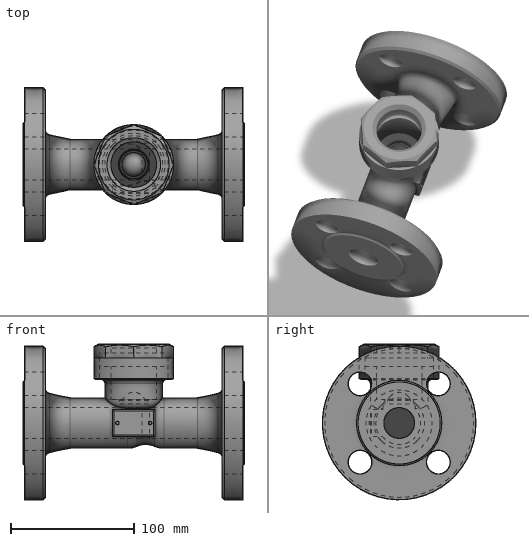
import cadquery as cq
import math

LENGTH = 180.0
FLANGE_DIAMETER = 125.0

RAISED_FACE_HEIGHT = 1.3
RAISED_FACE_DIAMETER = 69.3
RAISED_FACE_TOP_DIAMETER = 66.8
FLANGE_THICKNESS = 17.1
FLANGE_CHAMFER = 2.0
BOLT_HOLE_DIAMETER = 19.0
BOLT_CIRCLE_DIAMETER = 90.0
BOLT_COUNT = 4

PIPE_DIAMETER = 41.0
BORE_DIAMETER = 25.0
HUB_START = 51.7
HUB_END = 68.5
HUB_DIAMETER = 48.2
HUB_FILLET_WIDTH = 2.7

WAIST_CENTER = 9.7
WAIST_HALF_LENGTH = 14.8
WAIST_CORE_HALF_LENGTH = 7.0
WAIST_DEPTH = 3.0
PARTITION_THICKNESS = 5.8
CUT_CLEARANCE = 1.8

NECK_DIAMETER = 47.0
FLARE_DIAMETER = 51.0
THREAD_DIAMETER = 56.0
NECK_ROUND_RADIUS = 7.4
NECK_ROUND_TOP = 19.0
FLARE_BOTTOM = 32.0
FLARE_TOP = 35.1
SPIGOT_TOP = 45.9
CHAMBER_DIAMETER = 37.0
CHAMBER_FLOOR = 19.0

RECESS_DIAMETER = 23.0
RECESS_MOUTH_DIAMETER = BORE_DIAMETER
RECESS_FLOOR = 15.3
DOME_RADIUS = 9.7

PLATE_WIDTH = 34.2
PLATE_HEIGHT = 22.0
PLATE_FRONT = 23.4
PLATE_BEVEL_DEPTH = 0.7
PLATE_BEVEL_WIDTH = 1.0
RIVET_DIAMETER = 2.9
RIVET_SPACING = 26.5
RIVET_HEIGHT = 1.0

NUT_TOP = 64.0
NUT_DIAMETER = 65.0
NUT_BOTTOM = 35.5
OCTAGON_BOTTOM = 52.7
OCTAGON_SIDES = 8
NUT_TOP_DIAMETER = 57.5
NUT_CHAMFER_ANGLE = 30.0
NUT_BOTTOM_CHAMFER_WIDTH = 1.5
NUT_MOUTH_CHAMFER = 3.2
NUT_LIP_BOTTOM = 56.9


def half_outline():
    """Revolved half outline of one pipe end, from the centre to the raised face."""
    face_plane = LENGTH / 2
    front_plane = face_plane - RAISED_FACE_HEIGHT
    back_plane = front_plane - FLANGE_THICKNESS
    flange_radius = FLANGE_DIAMETER / 2
    hub_radius = HUB_DIAMETER / 2
    return (
        cq.Workplane("XY")
        .moveTo(0, 0)
        .lineTo(0, PIPE_DIAMETER / 2)
        .lineTo(HUB_START, PIPE_DIAMETER / 2)
        .lineTo(HUB_END, hub_radius)
        .tangentArcPoint((back_plane, hub_radius + HUB_FILLET_WIDTH), relative=False)
        .lineTo(back_plane, flange_radius - FLANGE_CHAMFER)
        .lineTo(back_plane + FLANGE_CHAMFER, flange_radius)
        .lineTo(front_plane, flange_radius)
        .lineTo(front_plane, RAISED_FACE_DIAMETER / 2)
        .lineTo(face_plane, RAISED_FACE_TOP_DIAMETER / 2)
        .lineTo(face_plane, 0)
        .close()
    )


def make_run():
    """Pipe, hubs and flanges along X, still without bores."""
    end = half_outline().revolve(360, (0, 0, 0), (1, 0, 0))
    return end.union(end.mirror("YZ"))


def make_waist_cutter():
    """Ring that turns the waist: a hollow middle arc blending into the pipe with a convex arc each side."""
    pipe_radius = PIPE_DIAMETER / 2
    turn = 2 * math.atan(WAIST_DEPTH / WAIST_HALF_LENGTH)
    hollow_radius = WAIST_CORE_HALF_LENGTH / math.sin(turn)
    shoulder_radius = (WAIST_HALF_LENGTH - WAIST_CORE_HALF_LENGTH) / math.sin(turn)
    core_depth = WAIST_DEPTH - hollow_radius * (1 - math.cos(turn))
    shoulder_offset = WAIST_HALF_LENGTH - shoulder_radius * math.sin(turn / 2)
    shoulder_drop = shoulder_radius * (1 - math.cos(turn / 2))

    def point(offset, drop):
        return (WAIST_CENTER + offset, pipe_radius - drop)

    return (
        cq.Workplane("XY")
        .moveTo(*point(-WAIST_HALF_LENGTH, 0))
        .threePointArc(point(-shoulder_offset, shoulder_drop), point(-WAIST_CORE_HALF_LENGTH, core_depth))
        .threePointArc(point(0, WAIST_DEPTH), point(WAIST_CORE_HALF_LENGTH, core_depth))
        .threePointArc(point(shoulder_offset, shoulder_drop), point(WAIST_HALF_LENGTH, 0))
        .lineTo(*point(WAIST_HALF_LENGTH, -CUT_CLEARANCE))
        .lineTo(*point(-WAIST_HALF_LENGTH, -CUT_CLEARANCE))
        .close()
        .revolve(360, (0, 0, 0), (1, 0, 0))
    )


def make_neck():
    """Neck with a rounded bottom, flaring out to the threaded spigot that fills the nut."""
    neck_radius = NECK_DIAMETER / 2
    flare_radius = FLARE_DIAMETER / 2
    thread_radius = THREAD_DIAMETER / 2
    neck_bottom = NECK_ROUND_TOP - NECK_ROUND_RADIUS
    return (
        cq.Workplane("XZ")
        .moveTo(0, neck_bottom)
        .lineTo(neck_radius - NECK_ROUND_RADIUS, neck_bottom)
        .tangentArcPoint((neck_radius, NECK_ROUND_TOP), relative=False)
        .lineTo(neck_radius, FLARE_BOTTOM)
        .tangentArcPoint((flare_radius, FLARE_TOP), relative=False)
        .lineTo(flare_radius, NUT_BOTTOM)
        .lineTo(thread_radius, NUT_BOTTOM)
        .lineTo(thread_radius, SPIGOT_TOP)
        .lineTo(0, SPIGOT_TOP)
        .close()
        .revolve(360, (0, 0, 0), (0, 1, 0))
    )


def make_plate():
    """Bevelled name plate standing on the pipe."""
    return (
        cq.Workplane("XZ")
        .rect(PLATE_WIDTH, PLATE_HEIGHT)
        .extrude(PLATE_FRONT)
        .faces("<Y")
        .chamfer(PLATE_BEVEL_DEPTH, PLATE_BEVEL_WIDTH)
    )


def make_rivets():
    """Two domed rivet heads on the name plate."""
    rivet_radius = RIVET_DIAMETER / 2
    sphere_radius = (rivet_radius**2 + RIVET_HEIGHT**2) / (2 * RIVET_HEIGHT)
    sphere_depth = PLATE_FRONT + RIVET_HEIGHT - sphere_radius
    rivets = cq.Workplane("XY")
    for side in (-1, 1):
        head = cq.Workplane("XY").sphere(sphere_radius)
        rivets = rivets.add(head.translate((side * RIVET_SPACING / 2, -sphere_depth, 0)))
    return rivets.combine()


def make_bores():
    """Blind bore from each flange, with the partition left between their ends."""
    half_length = LENGTH / 2
    inlet_end = WAIST_CENTER - PARTITION_THICKNESS / 2
    outlet_end = WAIST_CENTER + PARTITION_THICKNESS / 2
    radius = BORE_DIAMETER / 2
    inlet = cq.Workplane("YZ", origin=(-half_length, 0, 0)).circle(radius).extrude(half_length + inlet_end)
    outlet = cq.Workplane("YZ", origin=(outlet_end, 0, 0)).circle(radius).extrude(half_length - outlet_end)
    return inlet.union(outlet)


def make_bolt_holes():
    """Bolt holes through each flange, straddling the vertical centre line."""
    front_plane = LENGTH / 2 - RAISED_FACE_HEIGHT
    right_holes = (
        cq.Workplane("YZ", origin=(front_plane - FLANGE_THICKNESS, 0, 0))
        .polarArray(BOLT_CIRCLE_DIAMETER / 2, 180 / BOLT_COUNT, 360, BOLT_COUNT)
        .circle(BOLT_HOLE_DIAMETER / 2)
        .extrude(FLANGE_THICKNESS)
    )
    return right_holes.union(right_holes.mirror("YZ"))


def make_chamber():
    """Open space in the neck, down to the recess that surrounds the dome."""
    mouth_depth = (RECESS_MOUTH_DIAMETER - RECESS_DIAMETER) / 2
    dome = cq.Workplane("XY", origin=(0, 0, RECESS_FLOOR)).sphere(DOME_RADIUS)
    return (
        cq.Workplane("XZ")
        .moveTo(0, RECESS_FLOOR)
        .lineTo(RECESS_DIAMETER / 2, RECESS_FLOOR)
        .lineTo(RECESS_DIAMETER / 2, CHAMBER_FLOOR - mouth_depth)
        .lineTo(RECESS_MOUTH_DIAMETER / 2, CHAMBER_FLOOR)
        .lineTo(CHAMBER_DIAMETER / 2, CHAMBER_FLOOR)
        .lineTo(CHAMBER_DIAMETER / 2, SPIGOT_TOP)
        .lineTo(0, SPIGOT_TOP)
        .close()
        .revolve(360, (0, 0, 0), (0, 1, 0))
        .cut(dome)
    )


def make_body():
    """Flanged valve body."""
    return (
        make_run()
        .cut(make_waist_cutter())
        .union(make_neck())
        .union(make_plate())
        .union(make_rivets())
        .cut(make_bores())
        .cut(make_bolt_holes())
        .cut(make_chamber())
    )


def make_nut():
    """Ring nut: round skirt, chamfered octagon, and an inner lip above the spigot bore."""
    radius = NUT_DIAMETER / 2
    top_radius = NUT_TOP_DIAMETER / 2
    chamfer_drop = (radius - top_radius) * math.tan(math.radians(NUT_CHAMFER_ANGLE))
    octagon = (
        cq.Workplane("XY", origin=(0, 0, OCTAGON_BOTTOM))
        .polygon(OCTAGON_SIDES, NUT_DIAMETER)
        .extrude(NUT_TOP - OCTAGON_BOTTOM)
    )
    skirt = (
        cq.Workplane("XY", origin=(0, 0, NUT_BOTTOM))
        .circle(radius)
        .extrude(OCTAGON_BOTTOM - NUT_BOTTOM)
    )
    bottom_chamfer_rise = NUT_BOTTOM_CHAMFER_WIDTH * math.tan(math.radians(NUT_CHAMFER_ANGLE))
    lip_radius = CHAMBER_DIAMETER / 2
    ring = (
        cq.Workplane("XZ")
        .moveTo(THREAD_DIAMETER / 2, NUT_BOTTOM)
        .lineTo(radius - NUT_BOTTOM_CHAMFER_WIDTH, NUT_BOTTOM)
        .lineTo(radius, NUT_BOTTOM + bottom_chamfer_rise)
        .lineTo(radius, NUT_TOP - chamfer_drop)
        .lineTo(top_radius, NUT_TOP)
        .lineTo(lip_radius + NUT_MOUTH_CHAMFER, NUT_TOP)
        .lineTo(lip_radius, NUT_TOP - NUT_MOUTH_CHAMFER)
        .lineTo(lip_radius, NUT_LIP_BOTTOM)
        .lineTo(THREAD_DIAMETER / 2, NUT_LIP_BOTTOM)
        .close()
        .revolve(360, (0, 0, 0), (0, 1, 0))
    )
    return octagon.union(skirt).intersect(ring)


body = make_body()
nut = make_nut()
result = cq.Compound.makeCompound([body.val(), nut.val()])